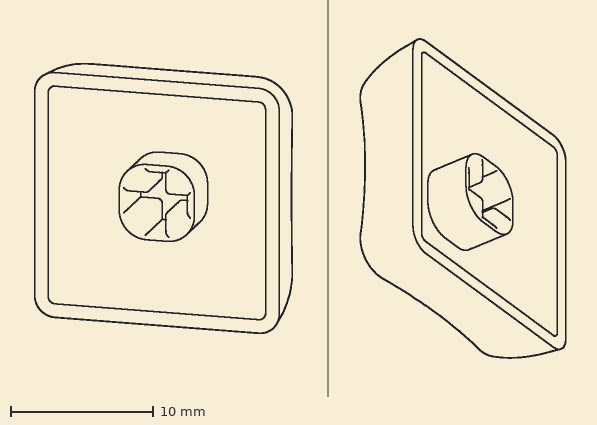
import cadquery as cq

RIM_WIDTH = 17.9
RIM_CORNER_RADIUS = 1.5
WALL = 1.0
CORNER_GROWTH = 0.26
TAPER_HEIGHT = 4.7
LEAN_X = 0.36
LEAN_Z = 0.54
LEAN_POWER = 3
BLANK_HEIGHT = 6.6
SECTION_COUNT = 5

DISH_RADIUS = 33.5
DISH_LOWEST = 4.28
TOP_FILLET = 1.4

CAVITY_DEPTH = 3.35
CAVITY_FLOOR_FILLET = 0.2

STEM_WIDTH = 5.5
STEM_CORNER_RADIUS = 2.0
CROSS_LENGTH = 4.3
CROSS_ARM_ALONG_X = 1.27
CROSS_ARM_ALONG_Z = 1.13
CROSS_FILLET = 0.35


def rounded_section(height, inset):
    """Rounded rectangle of the shell at a height, moved inward by inset."""
    lean = (height / TAPER_HEIGHT) ** LEAN_POWER
    width_x = RIM_WIDTH - 2 * (LEAN_X * lean + inset)
    width_z = RIM_WIDTH - 2 * (LEAN_Z * lean + inset)
    corner_radius = RIM_CORNER_RADIUS + CORNER_GROWTH * height - inset
    section = cq.Sketch().rect(width_x, width_z).vertices().fillet(corner_radius)
    return section.moved(cq.Location(cq.Vector(0, 0, -height)))


def tapered_body(height, inset):
    """Smooth loft from the rim to a height, with curved, leaning walls."""
    step = height / (SECTION_COUNT - 1)
    sections = [rounded_section(index * step, inset) for index in range(SECTION_COUNT)]
    return cq.Workplane("XZ").placeSketch(*sections).loft()


def block(width_x, width_z):
    """Rectangular block from the rim plane to the cavity floor."""
    return cq.Workplane("XZ").rect(width_x, width_z).extrude(-CAVITY_DEPTH)


def make_cap():
    """Solid outer body with the dished top and its rounded edge."""
    dish = cq.Workplane("XY", origin=(0, DISH_LOWEST + DISH_RADIUS, 0)).sphere(DISH_RADIUS)
    body = tapered_body(BLANK_HEIGHT, 0).cut(dish)
    return body.faces(">Y").edges().fillet(TOP_FILLET)


def make_cavity():
    """Hollow that follows the outer walls, with a rounded floor edge."""
    body = tapered_body(CAVITY_DEPTH, WALL)
    return body.faces(">Y").edges().fillet(CAVITY_FLOOR_FILLET)


def make_stem():
    """Rounded square post with a cross socket, its mouth and inner corners rounded."""
    post = block(STEM_WIDTH, STEM_WIDTH).edges("|Y").fillet(STEM_CORNER_RADIUS)
    arm_along_x = block(CROSS_LENGTH, CROSS_ARM_ALONG_X)
    arm_along_z = block(CROSS_ARM_ALONG_Z, CROSS_LENGTH)
    stem = post.cut(arm_along_x.union(arm_along_z))

    reach = CROSS_LENGTH / 4
    near_axis = cq.selectors.BoxSelector((-reach, 0, -reach), (reach, CAVITY_DEPTH, reach))
    inner_corners = stem.edges("|Y").edges(near_axis).vals()
    mouth = stem.faces("<Y").val().innerWires()[0].Edges()
    return stem.newObject(inner_corners + mouth).fillet(CROSS_FILLET)


result = make_cap().cut(make_cavity()).union(make_stem())